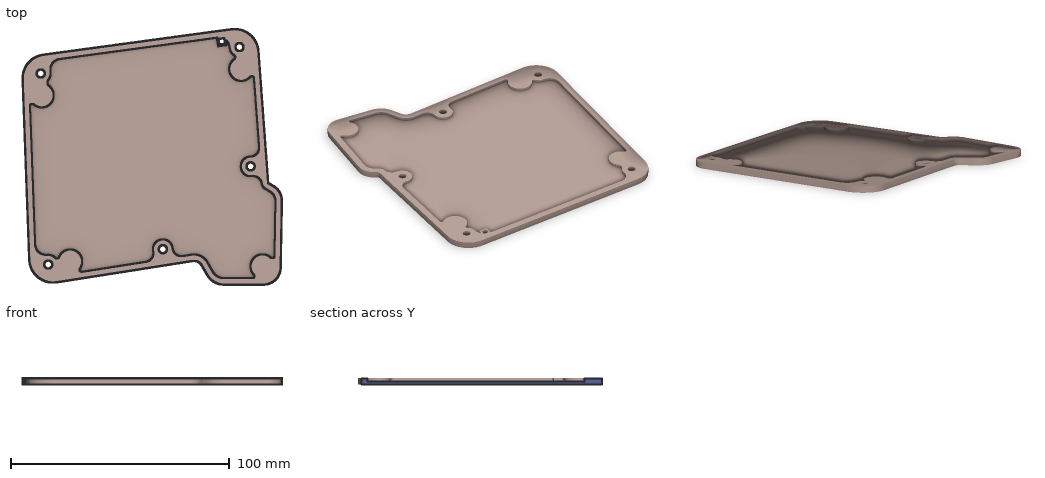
import cadquery as cq
import math

THICKNESS = 3.0
RIM_WIDTH = 3.0
POCKET_DEPTH = 1.5

TOP_LEFT = (-59.66, 45.41)
BOTTOM_LEFT = (-55.83, -59.31)
STEP_INNER = (21.2, -47.22)
STEP_OUTER = (27.7, -58.48)
BOTTOM_RIGHT = (58.64, -58.48)
NOTCH_OUTER = (59.42, -15.7)
NOTCH_INNER = (53.07, -11.9)
TOP_RIGHT = (47.74, 59.95)

MAIN_RADIUS = 11.0
SIDE_RADIUS = 8.0
STEP_INNER_RADIUS = 4.0
STEP_OUTER_RADIUS = 9.0

SHARP = 0.0

HOLE_DIAMETER = 3.6
BOSS_RADIUS = 4.5
HOLE_TOP_LEFT = (-50.95, 38.1)
HOLE_BOTTOM_LEFT = (-47.55, -49.23)
HOLE_BOTTOM = (4.85, -42.2)
HOLE_RIGHT = (44.97, -4.35)
HOLE_TOP_RIGHT = (39.9, 50.2)
HOLES = [HOLE_TOP_LEFT, HOLE_BOTTOM_LEFT, HOLE_BOTTOM, HOLE_RIGHT, HOLE_TOP_RIGHT]

PAD_RADIUS = 5.5
PAD_TOP_LEFT = (-50.5, 28.1)
PAD_BOTTOM_LEFT = (-37.5, -47.8)
PAD_BOTTOM_RIGHT = (50.4, -50.02)
PAD_TOP_RIGHT = (40.67, 40.21)

BOSS_FILLET = 4.0
PAD_FILLET = 1.0
TOP_LEFT_PAD_FILLET = 2.0
CORNER_FILLET = 5.0

OPENING_CENTER = (31.8, 52.8)
OPENING_SIZE = 2.5
OPENING_WALL = 0.75



def wall(start, end, inset=0.0):
    """Straight wall from start towards end, moved to its left by inset."""
    length = math.dist(start, end)
    ux = (end[0] - start[0]) / length
    uy = (end[1] - start[1]) / length
    return {"point": (start[0] - uy * inset, start[1] + ux * inset), "direction": (ux, uy)}


def post(center, radius):
    """Round solid post that bounds the enclosed area from outside."""
    return {"center": center, "radius": radius}


def is_wall(curve):
    return "direction" in curve


def shifted(curve, distance):
    """The curve moved by distance into the enclosed area."""
    if is_wall(curve):
        px, py = curve["point"]
        ux, uy = curve["direction"]
        return {"point": (px - uy * distance, py + ux * distance), "direction": (ux, uy)}
    return post(curve["center"], curve["radius"] + distance)


def nearest_on(curve, point):
    """The point of the curve nearest to the given point."""
    if is_wall(curve):
        px, py = curve["point"]
        ux, uy = curve["direction"]
        along = (point[0] - px) * ux + (point[1] - py) * uy
        return (px + ux * along, py + uy * along)
    cx, cy = curve["center"]
    scale = curve["radius"] / math.dist(point, curve["center"])
    return (cx + (point[0] - cx) * scale, cy + (point[1] - cy) * scale)


def meet_walls(first, second):
    px, py = first["point"]
    ux, uy = first["direction"]
    qx, qy = second["point"]
    vx, vy = second["direction"]
    along = ((qx - px) * vy - (qy - py) * vx) / (ux * vy - uy * vx)
    return (px + ux * along, py + uy * along)


def meet_wall_post(line, circle, side):
    """Crossing before (side -1) or after (side +1) the post; a tangent wall gives its touch point."""
    foot = nearest_on(line, circle["center"])
    gap = math.dist(foot, circle["center"])
    half = math.sqrt(max(0.0, circle["radius"] ** 2 - gap ** 2))
    ux, uy = line["direction"]
    return (foot[0] + side * half * ux, foot[1] + side * half * uy)


def meet_posts(first, second):
    """Crossing of two posts on the left of the way from first to second."""
    (ax, ay), (bx, by) = first["center"], second["center"]
    span = math.dist(first["center"], second["center"])
    ux, uy = (bx - ax) / span, (by - ay) / span
    along = (first["radius"] ** 2 - second["radius"] ** 2 + span ** 2) / (2 * span)
    across = math.sqrt(first["radius"] ** 2 - along ** 2)
    return (ax + ux * along - uy * across, ay + uy * along + ux * across)


def meeting_point(first, second):
    if is_wall(first) and is_wall(second):
        return meet_walls(first, second)
    if is_wall(first):
        return meet_wall_post(first, second, -1)
    if is_wall(second):
        return meet_wall_post(second, first, 1)
    return meet_posts(first, second)


def arc_middle(center, start, end, turn):
    """Middle of the arc from start to end, counter-clockwise (turn +1) or clockwise (turn -1)."""
    radius = math.dist(center, start)
    start_angle = math.atan2(start[1] - center[1], start[0] - center[0])
    end_angle = math.atan2(end[1] - center[1], end[0] - center[0])
    sweep = (turn * (end_angle - start_angle)) % math.tau
    angle = start_angle + turn * sweep / 2
    return (center[0] + radius * math.cos(angle), center[1] + radius * math.sin(angle))


def fillet_joint(first, second, fillet):
    """Where the fillet leaves the first curve, its center, and where it arrives on the second."""
    center = meeting_point(shifted(first, fillet), shifted(second, fillet))
    return nearest_on(first, center), center, nearest_on(second, center)


def chain_outline(chain):
    """Closed outline from (curve, fillet to the next curve); a negative fillet rounds a reflex corner."""
    joints = []
    for index, (curve, fillet) in enumerate(chain):
        following = chain[(index + 1) % len(chain)][0]
        joints.append(fillet_joint(curve, following, fillet))

    position = joints[-1][2]
    outline = cq.Workplane("XY").moveTo(*position)
    for (curve, fillet), (leave, center, arrive) in zip(chain, joints):
        if is_wall(curve):
            outline = outline.lineTo(*leave)
        else:
            outline = outline.threePointArc(arc_middle(curve["center"], position, leave, -1), leave)
        if fillet != SHARP:
            turn = math.copysign(1, fillet)
            outline = outline.threePointArc(arc_middle(center, leave, arrive, turn), arrive)
        position = arrive
    return outline.close()



def plate():
    chain = [
        (wall(TOP_LEFT, BOTTOM_LEFT), MAIN_RADIUS),
        (wall(BOTTOM_LEFT, STEP_INNER), -STEP_INNER_RADIUS),
        (wall(STEP_INNER, STEP_OUTER), STEP_OUTER_RADIUS),
        (wall(STEP_OUTER, BOTTOM_RIGHT), SIDE_RADIUS),
        (wall(BOTTOM_RIGHT, NOTCH_OUTER), SIDE_RADIUS),
        (wall(NOTCH_OUTER, NOTCH_INNER), SHARP),
        (wall(NOTCH_INNER, TOP_RIGHT), MAIN_RADIUS),
        (wall(TOP_RIGHT, TOP_LEFT), MAIN_RADIUS),
    ]
    return chain_outline(chain).extrude(THICKNESS)


def pocket():
    lower_wall = wall(BOTTOM_LEFT, STEP_INNER, RIM_WIDTH)
    chain = [
        (wall(TOP_LEFT, BOTTOM_LEFT, RIM_WIDTH), CORNER_FILLET),
        (post(HOLE_BOTTOM_LEFT, BOSS_RADIUS), PAD_FILLET),
        (post(PAD_BOTTOM_LEFT, PAD_RADIUS), PAD_FILLET),
        (lower_wall, BOSS_FILLET),
        (post(HOLE_BOTTOM, BOSS_RADIUS), BOSS_FILLET),
        (lower_wall, -STEP_INNER_RADIUS - RIM_WIDTH),
        (wall(STEP_INNER, STEP_OUTER, RIM_WIDTH), STEP_OUTER_RADIUS - RIM_WIDTH),
        (wall(STEP_OUTER, BOTTOM_RIGHT, RIM_WIDTH), PAD_FILLET),
        (post(PAD_BOTTOM_RIGHT, PAD_RADIUS), PAD_FILLET),
        (wall(BOTTOM_RIGHT, NOTCH_OUTER, RIM_WIDTH), SIDE_RADIUS - RIM_WIDTH),
        (wall(NOTCH_OUTER, NOTCH_INNER, RIM_WIDTH), SHARP),
        (post(NOTCH_INNER, RIM_WIDTH), BOSS_FILLET),
        (post(HOLE_RIGHT, BOSS_RADIUS), BOSS_FILLET),
        (wall(NOTCH_INNER, TOP_RIGHT, RIM_WIDTH), PAD_FILLET),
        (post(PAD_TOP_RIGHT, PAD_RADIUS), PAD_FILLET),
        (post(HOLE_TOP_RIGHT, BOSS_RADIUS), CORNER_FILLET),
        (wall(TOP_RIGHT, TOP_LEFT, RIM_WIDTH), CORNER_FILLET),
        (post(HOLE_TOP_LEFT, BOSS_RADIUS), TOP_LEFT_PAD_FILLET),
        (post(PAD_TOP_LEFT, PAD_RADIUS), PAD_FILLET),
    ]
    return chain_outline(chain).extrude(POCKET_DEPTH).translate((0, 0, THICKNESS - POCKET_DEPTH))


def square_column(size):
    """Square column at the opening, parallel to the top edge."""
    tilt = math.degrees(math.atan2(TOP_RIGHT[1] - TOP_LEFT[1], TOP_RIGHT[0] - TOP_LEFT[0]))
    column = cq.Workplane("XY").rect(size, size).extrude(THICKNESS)
    return column.rotate((0, 0, 0), (0, 0, 1), tilt).translate((*OPENING_CENTER, 0))


def screw_holes():
    return cq.Workplane("XY").pushPoints(HOLES).circle(HOLE_DIAMETER / 2).extrude(THICKNESS)


result = plate().cut(pocket())
result = result.union(square_column(OPENING_SIZE + 2 * OPENING_WALL))
result = result.cut(square_column(OPENING_SIZE)).cut(screw_holes())